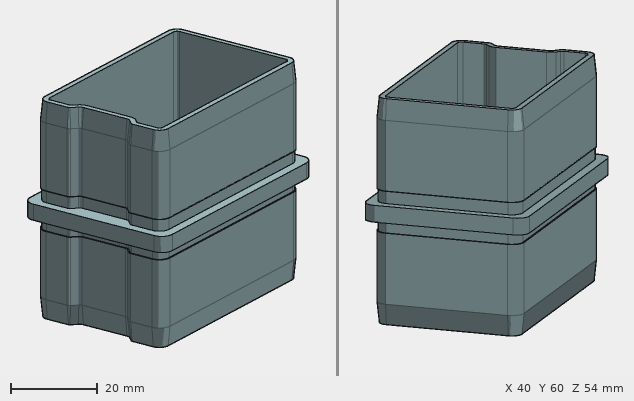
import cadquery as cq
import math

flange_width = 40.0
flange_length = 60.0
flange_thickness = 4.0
flange_corner_radius = 3.0

total_height = 54.0
flange_overhang = 2.1
wall = 2.0
body_corner_radius = 3.0
neck_height = 3.0
neck_inset = 0.3
tip_height = 5.05
tip_inset = 0.55

groove_depth = 2.0
groove_mouth_half_width = 8.5
groove_root_radius = 1.0
groove_shoulder_radius = 1.0
flank_angle = math.radians(45)

half_height = total_height / 2
neck_top = flange_thickness / 2 + neck_height
tip_base = half_height - tip_height
body_half_width = flange_width / 2 - flange_overhang
body_half_length = flange_length / 2 - flange_overhang


def toward(start, end, distance):
    """Point at the given distance from start on the way to end."""
    ratio = distance / math.dist(start, end)
    return tuple(a + (b - a) * ratio for a, b in zip(start, end))


def rounded_polygon(z, corners):
    """Closed wire at height z through (point, turn angle, radius) corners."""
    points = [point for point, _, _ in corners]
    wire = cq.Workplane("XY", origin=(0, 0, z))
    wire = wire.moveTo(*toward(points[-1], points[0], math.dist(points[-1], points[0]) / 2))
    for i, (point, turn, radius) in enumerate(corners):
        setback = radius * math.tan(turn / 2)
        following = points[(i + 1) % len(points)]
        wire = wire.lineTo(*toward(point, points[i - 1], setback))
        wire = wire.tangentArcPoint(toward(point, following, setback), relative=False)
    return wire.close()


def sleeve_outline(z, inset, shoulder_radius):
    """Grooved body outline at height z, moved inward by inset."""
    side = body_half_width - inset
    back = body_half_length - inset
    corner_radius = body_corner_radius - inset
    shoulder_x = groove_mouth_half_width + inset * math.tan(flank_angle / 2)
    root_x = shoulder_x - groove_depth / math.tan(flank_angle)
    root_y = groove_depth - back
    root_radius = groove_root_radius + inset
    square = math.radians(90)
    return rounded_polygon(z, [
        ((root_x, root_y), flank_angle, root_radius),
        ((shoulder_x, -back), flank_angle, shoulder_radius),
        ((side, -back), square, corner_radius),
        ((side, back), square, corner_radius),
        ((-side, back), square, corner_radius),
        ((-side, -back), square, corner_radius),
        ((-shoulder_x, -back), flank_angle, shoulder_radius),
        ((-root_x, root_y), flank_angle, root_radius),
    ])


def outer_outline(z, inset):
    """Outer outline, with the groove shoulders kept parallel to the body's."""
    return sleeve_outline(z, inset, groove_shoulder_radius - inset)


def tapered_tip():
    """Upper end of the sleeve, narrowing toward its rim."""
    base = outer_outline(tip_base, 0).wires().val()
    rim = outer_outline(half_height, tip_inset).wires().val()
    return cq.Workplane(cq.Solid.makeLoft([base, rim], True))


def upper_half():
    """Solid neck, body and tip above the mid plane."""
    neck = outer_outline(0, neck_inset).extrude(neck_top)
    body = outer_outline(neck_top, 0).extrude(tip_base - neck_top)
    return neck.union(body).union(tapered_tip())


flange = (
    cq.Workplane("XY")
    .box(flange_width, flange_length, flange_thickness)
    .edges("|Z")
    .fillet(flange_corner_radius)
)
cavity = sleeve_outline(-half_height, wall, groove_shoulder_radius).extrude(total_height)

upper = upper_half()
lower = upper.mirror("XY")
result = upper.union(lower).union(flange).cut(cavity)